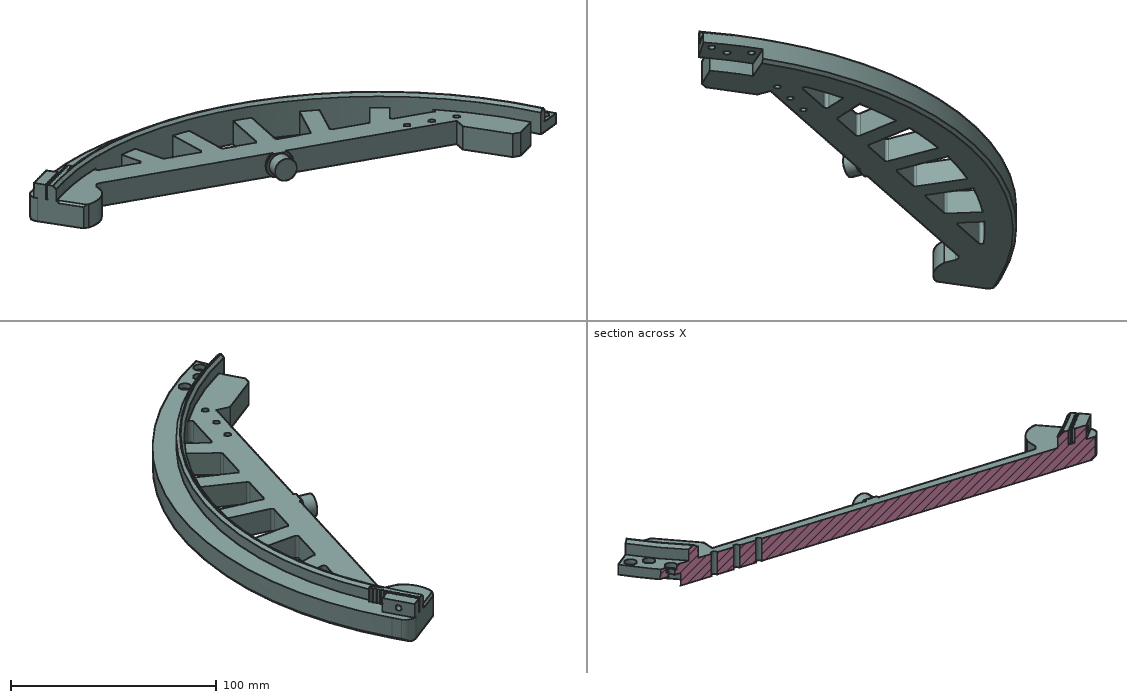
import cadquery as cq
import math


outer_radius = 180.0
rail_outer_radius = 168.5
rail_inner_radius = 164.5
arc_lower_sweep = 45
frame_height = 12.5
total_height = 20.0
edge_chamfer = 1.7
overshoot = 2.8

beam_inner_x = -120.5
beam_outer_x = -135.5
rib_angles = (-24, -12, 0, 12, 24)
rib_width = 10.0
window_corner = 1.5

block_end = 16.0
block_inner = 147.0
block_corner = 3.0
block_shoulder_y = 94.7
tongue_start_angle = 43.0
tongue_end_angle = 52.5
tongue_bottom = 7.0
tongue_holes = ((-110.7, 136.3), (-114.5, 128.0), (-125.0, 122.2))
tongue_hole_diameter = 3.5
counterbore_diameter = 6.0
counterbore_depth = 2.8

end_offset = 10.5
end_corner_radius = 5.5
end_bevel = 1.0
pad_shoulder_y = -98.5
pad_shoulder_end_x = -111.2
pad_side_x = -98.8
pad_side_y = -111.0
pad_radius = 17.5
pad_fillet = 3.3

beam_hole_x = -125.5
beam_hole_first_y = 70.5
beam_hole_pitch = 13.2
beam_hole_count = 3
beam_hole_diameter = 3.3

pin_diameter = 11.5
pin_length = 8.5
collar_diameter = 14.3
collar_length = 1.5

belt_pad_face = 169.3
belt_pad_start = -16.0
belt_tooth_pitch = 2.0
belt_tooth_radius = 0.7
belt_tooth_count = 13
clamp_inner = 170.0
clamp_outer = 176.2
clamp_start = -6.3
clamp_hole_diameter = 3.0

root_half = math.sqrt(0.5)
lower_end_angle = 180 + arc_lower_sweep


def upper_end_point(outward, along):
    """Point given by its distance along the -X+Y diagonal and its offset towards +X+Y."""
    return (root_half * (along - outward), root_half * (along + outward))


def lower_end_point(outward, along):
    """Point given by its distance along the -X-Y diagonal and its offset towards +X-Y."""
    return (root_half * (along - outward), -root_half * (along + outward))


def at_lower_end(shape):
    """Turn a shape so its local X points outward along the -X-Y diagonal."""
    return shape.rotate((0, 0, 0), (0, 0, 1), lower_end_angle)


def ring_sector(inner, outer, start, end, bottom, top):
    """Block between two radii, with angles measured from -X towards +Y."""
    profile = cq.Workplane("XZ").moveTo(-outer, bottom).lineTo(-inner, bottom)
    profile = profile.lineTo(-inner, top).lineTo(-outer, top).close()
    sector = profile.revolve(end - start, (0, 0, 0), (0, -1, 0))
    return sector.rotate((0, 0, 0), (0, 0, 1), -start)


def sweep_along_arc(points, upper_angle):
    """Carry an (X, Z) section along the arc, then straight on, tangent, to the lower end plane."""
    arc = cq.Workplane("XZ").polyline(points).close()
    arc = arc.revolve(upper_angle + arc_lower_sweep, (0, 0, 0), (0, -1, 0))
    arc = arc.rotate((0, 0, 0), (0, 0, 1), arc_lower_sweep)
    straight = cq.Workplane("XZ").polyline([(-x, z) for x, z in points]).close().extrude(-end_offset)
    return arc.union(at_lower_end(straight))


def make_frame():
    """Full-height plate: arc outside, beam and end pads inside."""
    far = 2 * outer_radius
    shoulder_x = block_shoulder_y - block_inner / root_half
    end_y = pad_side_x - end_offset / root_half
    end_corner = lower_end_point(outer_radius, end_offset)
    outline = (
        cq.Workplane("XY")
        .moveTo(*end_corner)
        .lineTo(pad_side_x, end_y)
        .lineTo(pad_side_x, pad_side_y)
        .radiusArc((pad_shoulder_end_x, pad_shoulder_y), -pad_radius)
        .lineTo(beam_inner_x + pad_fillet, pad_shoulder_y)
        .radiusArc((beam_inner_x, pad_shoulder_y + pad_fillet), pad_fillet)
        .lineTo(beam_inner_x, block_shoulder_y)
        .lineTo(shoulder_x, block_shoulder_y)
        .lineTo(*upper_end_point(block_inner, block_end - block_corner))
        .lineTo(*upper_end_point(block_inner + block_corner, block_end))
        .lineTo(*upper_end_point(far, block_end))
        .lineTo(*lower_end_point(outer_radius, -far))
        .close()
    )
    plate = outline.extrude(frame_height)
    lower_corner = cq.selectors.NearestToPointSelector((*end_corner, frame_height / 2))
    plate = plate.edges("|Z").edges(lower_corner).fillet(end_corner_radius)
    bevelled_section = [
        (0, 0),
        (-outer_radius + edge_chamfer, 0),
        (-outer_radius, edge_chamfer),
        (-outer_radius, frame_height),
        (0, frame_height),
    ]
    return plate.intersect(sweep_along_arc(bevelled_section, 90))


def make_tongue():
    """Thin overlap at the upper end, outside the rail's inner radius."""
    return ring_sector(
        rail_inner_radius, outer_radius, tongue_start_angle, tongue_end_angle, tongue_bottom, frame_height
    )


def make_tongue_relief():
    """Space below the tongue."""
    far = outer_radius + overshoot
    return ring_sector(rail_inner_radius, far, tongue_start_angle, 90, -overshoot, tongue_bottom)


def make_rail():
    """Raised rail along the inside of the track, bevelled along both top edges."""
    bevel_z = total_height - edge_chamfer
    section = [
        (-rail_outer_radius, frame_height),
        (-rail_inner_radius, frame_height),
        (-rail_inner_radius, bevel_z),
        (-rail_inner_radius - edge_chamfer, total_height),
        (-rail_outer_radius + edge_chamfer, total_height),
        (-rail_outer_radius, bevel_z),
    ]
    return sweep_along_arc(section, tongue_end_angle)


def make_belt_clamp():
    """Toothed pad on the rail and the clamp block facing it, with a cross hole for a screw."""
    rail_middle = (rail_inner_radius + rail_outer_radius) / 2
    clamp_height = total_height - frame_height
    pad = (
        cq.Workplane("XY", origin=(0, 0, frame_height))
        .moveTo(rail_middle, belt_pad_start)
        .lineTo(belt_pad_face, belt_pad_start)
        .lineTo(belt_pad_face, end_offset)
        .lineTo(rail_middle, end_offset)
        .close()
        .extrude(clamp_height)
    )
    teeth = [
        (belt_pad_face, belt_pad_start + (i + 0.5) * belt_tooth_pitch) for i in range(belt_tooth_count)
    ]
    grooves = cq.Workplane("XY", origin=(0, 0, frame_height))
    pad = pad.cut(grooves.pushPoints(teeth).circle(belt_tooth_radius).extrude(clamp_height))
    block = cq.Workplane("XY").box(
        clamp_outer - clamp_inner, end_offset - clamp_start, clamp_height, centered=False
    )
    block = block.translate((clamp_inner, clamp_start, frame_height))
    hole_z = frame_height + clamp_height / 2
    hole = cq.Workplane("YZ", origin=(clamp_inner, (clamp_start + end_offset) / 2, hole_z))
    block = block.cut(hole.circle(clamp_hole_diameter / 2).extrude(clamp_outer - clamp_inner))
    return at_lower_end(pad.union(block))


def make_end_bevel():
    """Wedge along the top edge of the lower end, inside the rail."""
    wedge = (
        cq.Workplane("YZ")
        .moveTo(end_offset - end_bevel, frame_height)
        .lineTo(end_offset, frame_height)
        .lineTo(end_offset, frame_height - end_bevel)
        .close()
        .extrude(rail_inner_radius - end_bevel)
    )
    return at_lower_end(wedge)


def make_windows():
    """Openings between the rail and the beam, separated by the radial ribs."""
    beam_half_width = -beam_outer_x
    opening = ring_sector(
        beam_half_width, rail_inner_radius, -arc_lower_sweep, arc_lower_sweep, 0, frame_height
    )
    beam_side = cq.Workplane("XY").rect(2 * beam_half_width, 3 * outer_radius).extrude(frame_height)
    opening = opening.cut(beam_side)
    for angle in rib_angles:
        rib = cq.Workplane("XY").box(outer_radius, rib_width, frame_height, centered=(False, True, False))
        opening = opening.cut(rib.rotate((0, 0, 0), (0, 0, 1), 180 - angle))
    straight_side = cq.selectors.BoxSelector(
        (beam_outer_x - window_corner, -outer_radius, -overshoot),
        (beam_outer_x + window_corner, outer_radius, total_height),
    )
    return opening.edges("|Z").edges(straight_side).fillet(window_corner)


def make_pin():
    """Locating pin on the back of the beam, with a collar trimmed to the frame's top and bottom."""
    root_depth = (beam_inner_x - beam_outer_x) / 2
    axis_start = cq.Workplane("YZ", origin=(beam_inner_x - root_depth, 0, frame_height / 2))
    trim = cq.Workplane("XY").box(2 * outer_radius, collar_diameter, frame_height, centered=(True, True, False))
    collar = axis_start.circle(collar_diameter / 2).extrude(root_depth + collar_length).intersect(trim)
    pin_start = cq.Workplane("YZ", origin=(beam_inner_x, 0, frame_height / 2))
    return collar.union(pin_start.circle(pin_diameter / 2).extrude(pin_length))


def make_beam_holes():
    """Row of plain through holes in the beam."""
    points = [(beam_hole_x, beam_hole_first_y + i * beam_hole_pitch) for i in range(beam_hole_count)]
    return cq.Workplane("XY").pushPoints(points).circle(beam_hole_diameter / 2).extrude(frame_height)


def make_tongue_holes():
    """Counterbored holes, opening upwards."""
    top = cq.Workplane("XY", origin=(0, 0, frame_height)).pushPoints(tongue_holes)
    holes = top.circle(tongue_hole_diameter / 2).extrude(-frame_height)
    return holes.union(top.circle(counterbore_diameter / 2).extrude(-counterbore_depth))


frame = make_frame().cut(make_tongue_relief()).union(make_tongue())
frame = frame.cut(make_windows()).cut(make_end_bevel()).union(make_pin())
result = frame.union(make_rail()).union(make_belt_clamp()).cut(make_beam_holes()).cut(make_tongue_holes())